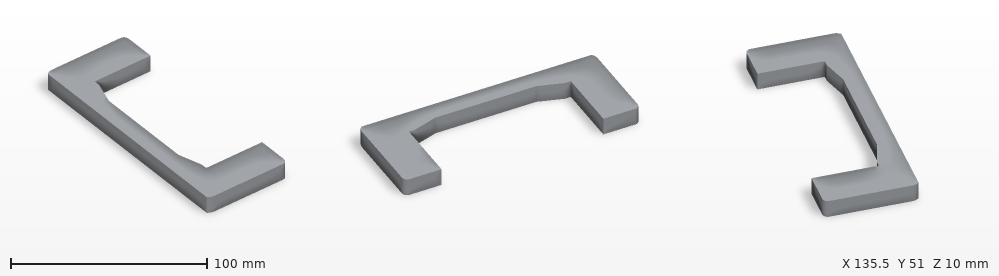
import cadquery as cq
import math

length = 135.5
depth = 51.0
thickness = 10.0

leg_width = 21.25
bar_depth = 10.65
shoulder_depth = 15.0
shoulder_width = 3.5
ramp_length = 14.0

leg_end_radius = 3.0
front_arc_radius = 6.0
front_arc_height = 4.0

half_length = length / 2
inner_x = half_length - leg_width
ramp_top_x = inner_x - shoulder_width
ramp_bottom_x = ramp_top_x - ramp_length

back_y = depth / 2
front_y = -depth / 2
shoulder_y = front_y + shoulder_depth
bar_back_y = front_y + bar_depth


def front_arc_inset(height):
    """Distance from the side wall to the front arc, at a height below its tangent point."""
    return front_arc_radius - math.sqrt(front_arc_radius**2 - height**2)


def half_plate():
    """Right half of the handle, from the centre plane to the outer side wall."""
    front_corner_x = half_length - front_arc_inset(front_arc_height)
    arc_middle_x = half_length - front_arc_inset(front_arc_height / 2)
    arc_middle_y = front_y + front_arc_height / 2
    return (
        cq.Workplane("XY")
        .moveTo(0, front_y)
        .lineTo(front_corner_x, front_y)
        .threePointArc((arc_middle_x, arc_middle_y), (half_length, front_y + front_arc_height))
        .lineTo(half_length, back_y - leg_end_radius)
        .radiusArc((half_length - leg_end_radius, back_y), -leg_end_radius)
        .lineTo(inner_x, back_y)
        .lineTo(inner_x, shoulder_y)
        .lineTo(ramp_top_x, shoulder_y)
        .lineTo(ramp_bottom_x, bar_back_y)
        .lineTo(0, bar_back_y)
        .close()
        .extrude(thickness)
    )


right_half = half_plate()
result = right_half.union(right_half.mirror("YZ")).clean()